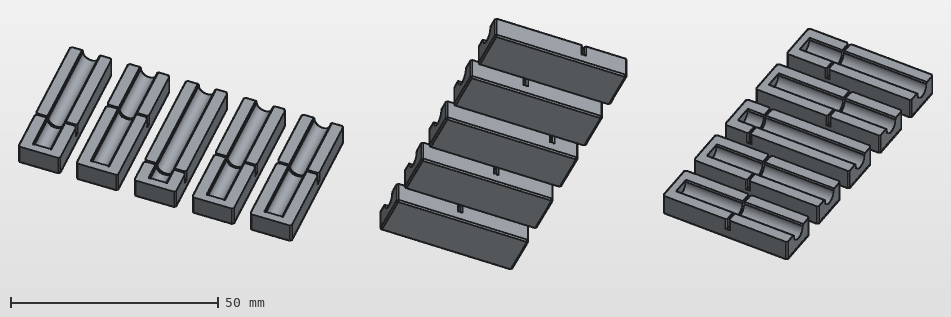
import cadquery as cq
import math

block_pitch = 15.0
block_width = 10.74
end_wall = 2.0
channel_length = 32.6
block_length = end_wall + channel_length
block_height = 6.0
edge_chamfer = 0.4

channel_radius = 2.09
axis_depth = 0.65
mouth_half_width = 2.4
mouth_chamfer_depth = 0.4

slot_below_channel = 0.35
slot_depth = axis_depth + channel_radius + slot_below_channel
slot_width = 0.5
slot_floor = block_height - slot_depth
slot_flare = 0.4

cut_lengths = [9.35, 18.25, 4.82, 13.07, 16.05]


def make_blank():
    """Block with its upright and bottom edges chamfered; the top edges stay sharp."""
    blank = cq.Workplane("XY").box(block_width, block_length, block_height, centered=(True, False, False))
    return blank.edges("|Z").chamfer(edge_chamfer).faces("<Z").edges().chamfer(edge_chamfer)


def make_channel():
    """Round-bottomed rod channel, closed at the low Y end and open at the high Y end."""
    axis_height = block_height - axis_depth
    channel_floor = axis_height - channel_radius
    chamfer_height = block_height - mouth_chamfer_depth
    chamfer_half_width = math.sqrt(channel_radius**2 - (chamfer_height - axis_height) ** 2)
    return (
        cq.Workplane("XZ", origin=(0, end_wall, 0))
        .moveTo(-mouth_half_width, block_height)
        .lineTo(-chamfer_half_width, chamfer_height)
        .threePointArc((0, channel_floor), (chamfer_half_width, chamfer_height))
        .lineTo(mouth_half_width, block_height)
        .close()
        .extrude(-channel_length)
    )


def make_slot(cut_length):
    """Flat-bottomed saw slot across the block, flared where it leaves each side face."""
    slot_y = end_wall + cut_length
    side = block_width / 2
    throat = side - slot_flare
    half_slot = slot_width / 2
    half_opening = half_slot + slot_flare
    outline = [
        (-side, -half_opening),
        (-throat, -half_slot),
        (throat, -half_slot),
        (side, -half_opening),
        (side, half_opening),
        (throat, half_slot),
        (-throat, half_slot),
        (-side, half_opening),
    ]
    return (
        cq.Workplane("XY", origin=(0, slot_y, slot_floor))
        .polyline(outline)
        .close()
        .extrude(slot_depth)
    )


def make_block(cut_length):
    return make_blank().cut(make_channel()).cut(make_slot(cut_length))


blocks = []
for index, cut_length in enumerate(cut_lengths):
    block = make_block(cut_length).translate((index * block_pitch, 0, 0))
    blocks.append(block.val())

result = cq.Compound.makeCompound(blocks)